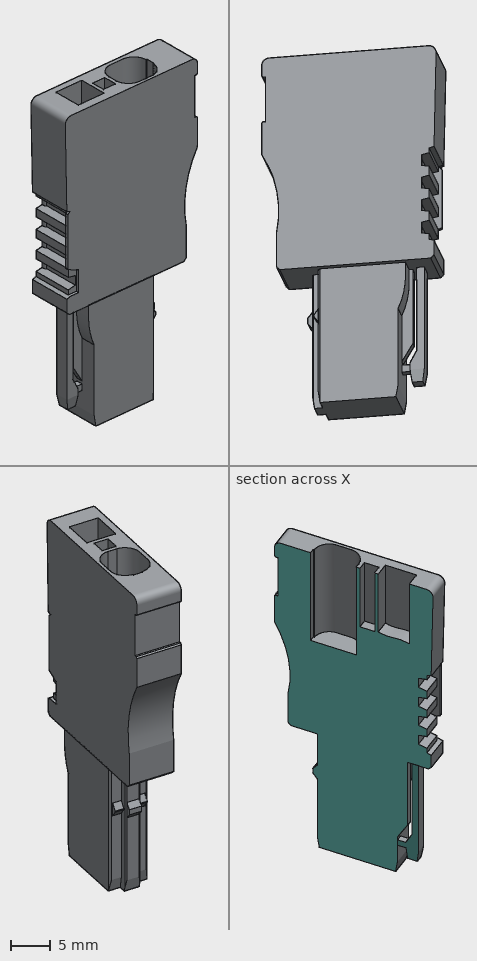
import cadquery as cq
import math

HEIGHT = 47.3

WIDTH = 6.5
BACK_Y = 22.35
HOUSING_BOTTOM_Z = 18.25
TOP_ROUND = 1.0
BOTTOM_CHAMFER = 0.43
FRONT_Y = 0.3
SLOPE_END_Z = 33.5

BACK_RECESS_TOP_Z = 44.75
BACK_RECESS_BOTTOM_Z = 38.65
BACK_RECESS_DEPTH = 0.45
BACK_RECESS_CHAMFER = 0.2

HOLLOW_TOP_Z = 34.2
HOLLOW_DEEPEST_Y = 20.15
HOLLOW_DEEPEST_Z = 26.25
HOLLOW_BOTTOM_Y = 20.45
HOLLOW_BOTTOM_Z = 23.32

CHEEK_X = 6.05
LEDGE_Z = 20.85
LEDGE_DROP = 0.2
RIB_FACE_Y = 0.9
NOTCH_FLOOR_Y = 2.1
NOTCH_COUNT = 4
NOTCH_PITCH = 3.08
NOTCH_FLOOR_HEIGHT = 1.35
NOTCH_FLARE = 0.25
LOWEST_NOTCH_Z = 22.5
NOTCH_LIP_WIDTH = 0.35
NOTCH_LIP_HEIGHT = 0.2
NOTCH_LIP_ROUND = 0.43
GRIP_TOP_DROP = 0.2
CHEEK_FACE_Y = 0.45
CHEEK_TOP_CHAMFER = 0.35
CHEEK_END_Z = 24.95
CHEEK_SLANT = 0.75
CHEEK_RELIEF_Y = 2.25

SCREW_HOLE_WIDTH = 5.45
SCREW_HOLE_LENGTH = 6.25
SCREW_HOLE_ROUND = 2.15
SCREW_HOLE_X = 3.3
SCREW_HOLE_Y = 13.95
SCREW_HOLE_DEPTH = 14.2
RELIEF_WIDTH = 1.32
RELIEF_DEPTH = 0.15
TEST_HOLE_SIZE = 2.05
TEST_HOLE_X = 3.45
TEST_HOLE_Y = 9.25
TEST_HOLE_DEPTH = 9.45
WIRE_HOLE_X = 1.0
WIRE_HOLE_WIDTH = 4.2
WIRE_HOLE_FRONT_Y = 3.35
WIRE_HOLE_BACK_Y = 7.7
WIRE_HOLE_DEPTH = 9.45
WIRE_FRONT_DIP = 1.2
WIRE_FRONT_DROP = 0.25
WIRE_BACK_RISE = 0.35
WIRE_BACK_LIFT = 0.12

PLUG_X = 0.7
PLUG_WIDTH = 5.65
PLUG_FRONT_Y = 5.0
PLUG_NECK_Y = 4.05
NECK_ARC_TOP_Z = 16.4
NECK_ARC_BOTTOM_Z = 12.0
PLUG_BACK_Y = 15.3
PLUG_BACK_CHAMFER = 0.3
PLUG_TAPER_HEIGHT = 1.65
PLUG_TAPER_DEPTH = 0.3

BACK_RIB_Y = 16.3
BACK_RIB_WIDTH = 2.18
BACK_RIB_CHAMFER = 0.2
BUMP_Z = 12.1
RIB_BUMP_HEIGHT = 2.25
RIB_BUMP_TIP_HEIGHT = 0.75
SIDE_BUMP_WIDTH = 4.7
SIDE_BUMP_HEIGHT = 1.9
SIDE_BUMP_TIP_HEIGHT = 0.15
BUMP_DEPTH = 0.6

FIN_THICKNESS = 0.95
FIN_FRONT_Y = 3.6
FIN_SLANT_TOP_Z = 8.15
FIN_BOTTOM_Z = 5.72

PIN_X = 3.6
PIN_WIDTH = 2.0
PIN_FRONT_Y = 2.05
PIN_BACK_Y = 3.05
PIN_HEEL_Y = 3.9
HEEL_SLANT_TOP_Z = 6.9
HEEL_TOP_Z = 5.3
PIN_SHOULDER_Z = 4.35
PIN_TIP_Z = 2.75
PIN_TIP_INSET = 0.25

PLUG_MIDDLE_X = PLUG_X + PLUG_WIDTH / 2


def side_prism(points, start_x, width):
    """Extrude a closed (Y, Z) polygon along X."""
    return cq.Workplane("YZ", origin=(start_x, 0, 0)).polyline(points).close().extrude(width)


def make_upper_block():
    recess_y = BACK_Y - BACK_RECESS_DEPTH
    block = (
        cq.Workplane("YZ")
        .moveTo(FRONT_Y + BOTTOM_CHAMFER, HOUSING_BOTTOM_Z)
        .lineTo(FRONT_Y, HOUSING_BOTTOM_Z + BOTTOM_CHAMFER)
        .lineTo(FRONT_Y, SLOPE_END_Z)
        .lineTo(0, HEIGHT)
        .lineTo(BACK_Y, HEIGHT)
        .lineTo(BACK_Y, BACK_RECESS_TOP_Z + BACK_RECESS_CHAMFER)
        .lineTo(BACK_Y - BACK_RECESS_CHAMFER, BACK_RECESS_TOP_Z)
        .lineTo(recess_y, BACK_RECESS_TOP_Z)
        .lineTo(recess_y, BACK_RECESS_BOTTOM_Z)
        .lineTo(BACK_Y - BACK_RECESS_CHAMFER, BACK_RECESS_BOTTOM_Z)
        .lineTo(BACK_Y, BACK_RECESS_BOTTOM_Z - BACK_RECESS_CHAMFER)
        .lineTo(BACK_Y, HOLLOW_TOP_Z)
        .threePointArc((HOLLOW_DEEPEST_Y, HOLLOW_DEEPEST_Z), (HOLLOW_BOTTOM_Y, HOLLOW_BOTTOM_Z))
        .lineTo(HOLLOW_BOTTOM_Y, HOUSING_BOTTOM_Z + BOTTOM_CHAMFER)
        .lineTo(HOLLOW_BOTTOM_Y - BOTTOM_CHAMFER, HOUSING_BOTTOM_Z)
        .close()
        .extrude(WIDTH)
    )
    return block.faces(">Z").edges("|X").fillet(TOP_ROUND)


def make_notch(middle_z):
    floor_half = NOTCH_FLOOR_HEIGHT / 2
    mouth_half = floor_half + NOTCH_FLARE
    notch = side_prism(
        [
            (NOTCH_FLOOR_Y, middle_z - floor_half),
            (NOTCH_FLOOR_Y, middle_z + floor_half),
            (RIB_FACE_Y, middle_z + mouth_half),
            (RIB_FACE_Y, middle_z - mouth_half),
        ],
        0,
        CHEEK_X,
    )
    lip_y = NOTCH_FLOOR_Y - NOTCH_LIP_HEIGHT
    round_length = math.sqrt(2 * NOTCH_LIP_ROUND * NOTCH_LIP_HEIGHT - NOTCH_LIP_HEIGHT**2)
    lip = (
        cq.Workplane("XY", origin=(0, 0, middle_z - mouth_half))
        .moveTo(0, NOTCH_FLOOR_Y)
        .lineTo(0, lip_y)
        .lineTo(NOTCH_LIP_WIDTH, lip_y)
        .radiusArc((NOTCH_LIP_WIDTH + round_length, NOTCH_FLOOR_Y), -NOTCH_LIP_ROUND)
        .close()
        .extrude(2 * mouth_half)
    )
    return notch.cut(lip)


def cut_grip(housing):
    grip_top_z = SLOPE_END_Z - GRIP_TOP_DROP
    ledge_front_z = LEDGE_Z - LEDGE_DROP
    rib_space = side_prism(
        [
            (0, SLOPE_END_Z),
            (FRONT_Y, SLOPE_END_Z),
            (RIB_FACE_Y, grip_top_z),
            (RIB_FACE_Y, LEDGE_Z),
            (FRONT_Y, ledge_front_z),
            (0, ledge_front_z),
        ],
        0,
        CHEEK_X,
    )
    cheek_space = side_prism(
        [
            (0, SLOPE_END_Z),
            (FRONT_Y, SLOPE_END_Z),
            (CHEEK_FACE_Y + CHEEK_TOP_CHAMFER, grip_top_z),
            (CHEEK_FACE_Y, grip_top_z - CHEEK_TOP_CHAMFER),
            (CHEEK_FACE_Y, CHEEK_END_Z),
            (CHEEK_RELIEF_Y, CHEEK_END_Z - CHEEK_SLANT),
            (CHEEK_RELIEF_Y, LEDGE_Z),
            (RIB_FACE_Y, LEDGE_Z),
            (FRONT_Y, ledge_front_z),
            (0, ledge_front_z),
        ],
        CHEEK_X,
        WIDTH - CHEEK_X,
    )
    housing = housing.cut(rib_space).cut(cheek_space)
    for index in range(NOTCH_COUNT):
        housing = housing.cut(make_notch(LOWEST_NOTCH_Z + index * NOTCH_PITCH))
    return housing


def make_wire_hole():
    """Rectangular shaft on a smoothly curved floor that dips at the front and rises at the back."""
    floor_z = HEIGHT - WIRE_HOLE_DEPTH
    floor_points = [
        (WIRE_HOLE_FRONT_Y + WIRE_FRONT_DIP, floor_z),
        (WIRE_HOLE_BACK_Y - WIRE_BACK_RISE, floor_z),
        (WIRE_HOLE_BACK_Y, floor_z + WIRE_BACK_LIFT),
    ]
    return (
        cq.Workplane("YZ", origin=(WIRE_HOLE_X, 0, 0))
        .moveTo(WIRE_HOLE_FRONT_Y, HEIGHT)
        .lineTo(WIRE_HOLE_FRONT_Y, floor_z - WIRE_FRONT_DROP)
        .spline(floor_points, includeCurrent=True)
        .lineTo(WIRE_HOLE_BACK_Y, HEIGHT)
        .close()
        .extrude(WIRE_HOLE_WIDTH)
    )


def cut_top_openings(housing):
    top = cq.Workplane("XY", origin=(0, 0, HEIGHT))
    screw_hole = (
        top.center(SCREW_HOLE_X, SCREW_HOLE_Y)
        .rect(SCREW_HOLE_WIDTH, SCREW_HOLE_LENGTH)
        .extrude(-SCREW_HOLE_DEPTH)
        .edges("|Z")
        .fillet(SCREW_HOLE_ROUND)
    )
    relief = (
        top.center(SCREW_HOLE_X, SCREW_HOLE_Y + RELIEF_DEPTH / 2)
        .rect(RELIEF_WIDTH, SCREW_HOLE_LENGTH + RELIEF_DEPTH)
        .extrude(-SCREW_HOLE_DEPTH)
    )
    test_hole = (
        top.center(TEST_HOLE_X, TEST_HOLE_Y)
        .rect(TEST_HOLE_SIZE, TEST_HOLE_SIZE)
        .extrude(-TEST_HOLE_DEPTH)
    )
    return housing.cut(screw_hole).cut(relief).cut(test_hole).cut(make_wire_hole())


def make_back_slab(front_y, back_y, start_x, width, chamfer):
    """Upright slab whose two back edges are chamfered and whose back leans in at the lower end."""
    slab = side_prism(
        [
            (front_y, 0),
            (front_y, HOUSING_BOTTOM_Z),
            (back_y, HOUSING_BOTTOM_Z),
            (back_y, PLUG_TAPER_HEIGHT),
            (back_y - PLUG_TAPER_DEPTH, 0),
        ],
        start_x,
        width,
    )
    inner_y = back_y - chamfer
    footprint = (
        cq.Workplane("XY")
        .polyline(
            [
                (start_x, front_y),
                (start_x, inner_y),
                (start_x + chamfer, back_y),
                (start_x + width - chamfer, back_y),
                (start_x + width, inner_y),
                (start_x + width, front_y),
            ]
        )
        .close()
        .extrude(HOUSING_BOTTOM_Z)
    )
    return slab.intersect(footprint)


def make_plug():
    middle_y = (PLUG_FRONT_Y + PLUG_BACK_Y) / 2
    arc_height = NECK_ARC_TOP_Z - NECK_ARC_BOTTOM_Z
    arc_depth = PLUG_FRONT_Y - PLUG_NECK_Y
    arc_radius = (arc_height**2 + arc_depth**2) / (2 * arc_depth)
    front = (
        cq.Workplane("YZ", origin=(PLUG_X, 0, 0))
        .moveTo(middle_y, 0)
        .lineTo(PLUG_FRONT_Y + PLUG_TAPER_DEPTH, 0)
        .lineTo(PLUG_FRONT_Y, PLUG_TAPER_HEIGHT)
        .lineTo(PLUG_FRONT_Y, NECK_ARC_BOTTOM_Z)
        .radiusArc((PLUG_NECK_Y, NECK_ARC_TOP_Z), arc_radius)
        .lineTo(PLUG_NECK_Y, HOUSING_BOTTOM_Z)
        .lineTo(middle_y, HOUSING_BOTTOM_Z)
        .close()
        .extrude(PLUG_WIDTH)
    )
    back = make_back_slab(middle_y, PLUG_BACK_Y, PLUG_X, PLUG_WIDTH, PLUG_BACK_CHAMFER)
    rib_x = PLUG_MIDDLE_X - BACK_RIB_WIDTH / 2
    rib = make_back_slab(middle_y, BACK_RIB_Y, rib_x, BACK_RIB_WIDTH, BACK_RIB_CHAMFER)
    return front.union(back).union(rib)


def make_bump(back_y, base_height, tip_height, width):
    """Snap bump across the middle of the plug, with flanks that slope to a tip."""
    return side_prism(
        [
            (PLUG_FRONT_Y, BUMP_Z - base_height / 2),
            (back_y, BUMP_Z - base_height / 2),
            (back_y + BUMP_DEPTH, BUMP_Z - tip_height / 2),
            (back_y + BUMP_DEPTH, BUMP_Z + tip_height / 2),
            (back_y, BUMP_Z + base_height / 2),
            (PLUG_FRONT_Y, BUMP_Z + base_height / 2),
        ],
        PLUG_MIDDLE_X - width / 2,
        width,
    )


def make_fin():
    return side_prism(
        [
            (PLUG_FRONT_Y, FIN_BOTTOM_Z),
            (FIN_FRONT_Y, FIN_SLANT_TOP_Z),
            (FIN_FRONT_Y, HOUSING_BOTTOM_Z),
            (PLUG_FRONT_Y, HOUSING_BOTTOM_Z),
        ],
        PIN_X - FIN_THICKNESS / 2,
        FIN_THICKNESS,
    )


def make_housing():
    housing = cut_top_openings(cut_grip(make_upper_block()))
    rib_bump_width = BACK_RIB_WIDTH - 2 * BACK_RIB_CHAMFER
    rib_bump = make_bump(BACK_RIB_Y, RIB_BUMP_HEIGHT, RIB_BUMP_TIP_HEIGHT, rib_bump_width)
    side_bumps = make_bump(PLUG_BACK_Y, SIDE_BUMP_HEIGHT, SIDE_BUMP_TIP_HEIGHT, SIDE_BUMP_WIDTH)
    return housing.union(make_plug()).union(rib_bump).union(side_bumps).union(make_fin())


def make_pin():
    shank = side_prism(
        [
            (PIN_FRONT_Y, PIN_SHOULDER_Z),
            (PIN_FRONT_Y, HOUSING_BOTTOM_Z),
            (PIN_BACK_Y, HOUSING_BOTTOM_Z),
            (PIN_BACK_Y, HEEL_SLANT_TOP_Z),
            (PIN_HEEL_Y, HEEL_TOP_Z),
            (PIN_HEEL_Y, PIN_SHOULDER_Z),
        ],
        PIN_X - PIN_WIDTH / 2,
        PIN_WIDTH,
    )
    heel_depth = PIN_HEEL_Y - PIN_FRONT_Y
    tip = (
        cq.Workplane("XY", origin=(PIN_X, PIN_FRONT_Y + heel_depth / 2, PIN_SHOULDER_Z))
        .rect(PIN_WIDTH, heel_depth)
        .workplane(offset=PIN_TIP_Z - PIN_SHOULDER_Z)
        .rect(PIN_WIDTH - 2 * PIN_TIP_INSET, heel_depth - 2 * PIN_TIP_INSET)
        .loft()
    )
    foot = side_prism(
        [
            (PIN_HEEL_Y, PIN_SHOULDER_Z),
            (PIN_HEEL_Y, HEEL_TOP_Z),
            (PLUG_FRONT_Y, HEEL_TOP_Z),
            (PLUG_FRONT_Y, PIN_SHOULDER_Z),
        ],
        PIN_X - FIN_THICKNESS / 2,
        FIN_THICKNESS,
    )
    return shank.union(tip).union(foot)


housing = make_housing()
pin = make_pin()
result = cq.Compound.makeCompound([housing.val(), pin.val()])